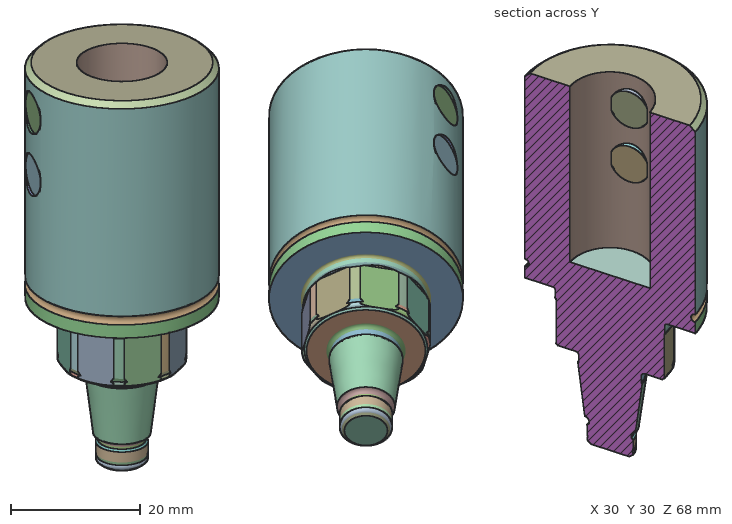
import cadquery as cq
import math


total_height = 68.0
body_radius = 14.995
body_bottom = 31.7
top_chamfer = 0.95
flange_top = 30.25
flange_bottom = 28.0

bore_radius = 7.0
bore_floor = 34.0
screw_radius = 3.4
screw_heights = (51.3, 61.8)
screw_outer_depth = 14.55
screw_inner_depth = 6.25

collar_radius = 9.65
collar_fillet = 0.4
collar_bottom = 26.7
collar_flare_radius = 2.05
drive_radius = 10.0
drive_land_bottom = 18.8
drive_groove_radius = 9.85
drive_groove_height = 18.15
drive_bead_height = 17.8
drive_bottom = 17.0
drive_edge_chamfer = 0.35
drive_edge_radius = 9.5
flat_count = 8
flat_distance = 9.5
flat_top = 25.9

neck_radius = 5.5
neck_fillet = 0.6
taper_top = 15.1
taper_top_radius = 5.7
taper_bottom = 5.0
taper_bottom_radius = 4.5

tip_neck_radius = 3.75
tip_neck_bottom = 3.9
tip_radius = 4.1
tip_land_bottom = 1.8
tip_groove_radius = 3.95
tip_groove_height = 1.2
tip_bead_height = 0.8
tip_edge_radius = 3.75
tip_edge_height = 0.35
tip_end_radius = 3.3


def turned_body():
    """Revolve the complete outer profile, drawn from the tip up to the top face."""
    tip_neck_fillet = taper_bottom_radius - tip_neck_radius
    tip_neck_top = taper_bottom - tip_neck_fillet
    tip_shoulder = tip_neck_bottom - (tip_radius - tip_neck_radius)

    flare_inset = collar_flare_radius - (drive_radius - collar_radius)
    drive_top = collar_bottom - math.sqrt(collar_flare_radius**2 - flare_inset**2)
    drive_end_radius = drive_edge_radius - drive_edge_chamfer

    groove_radius = (body_bottom - flange_top) / 2
    groove_middle = flange_top + groove_radius

    profile = (
        cq.Workplane("XZ")
        .lineTo(tip_end_radius, 0)
        .lineTo(tip_edge_radius, tip_edge_height)
        .threePointArc((tip_radius, tip_bead_height), (tip_groove_radius, tip_groove_height))
        .lineTo(tip_radius, tip_land_bottom)
        .lineTo(tip_radius, tip_shoulder)
        .lineTo(tip_neck_radius, tip_neck_bottom)
        .lineTo(tip_neck_radius, tip_neck_top)
        .radiusArc((taper_bottom_radius, taper_bottom), tip_neck_fillet)
        .lineTo(taper_top_radius, taper_top)
        .lineTo(neck_radius, taper_top)
        .lineTo(neck_radius, drive_bottom - neck_fillet)
        .radiusArc((neck_radius + neck_fillet, drive_bottom), neck_fillet)
        .lineTo(drive_end_radius, drive_bottom)
        .lineTo(drive_edge_radius, drive_bottom + drive_edge_chamfer)
        .threePointArc((drive_radius, drive_bead_height), (drive_groove_radius, drive_groove_height))
        .lineTo(drive_radius, drive_land_bottom)
        .lineTo(drive_radius, drive_top)
        .radiusArc((collar_radius, collar_bottom), collar_flare_radius)
        .lineTo(collar_radius, flange_bottom - collar_fillet)
        .radiusArc((collar_radius + collar_fillet, flange_bottom), collar_fillet)
        .lineTo(body_radius, flange_bottom)
        .lineTo(body_radius, flange_top)
        .threePointArc((body_radius - groove_radius, groove_middle), (body_radius, body_bottom))
        .lineTo(body_radius, total_height - top_chamfer)
        .lineTo(body_radius - top_chamfer, total_height)
        .lineTo(0, total_height)
        .close()
    )
    return profile.revolve(360, (0, 0, 0), (0, 1, 0))


def flat_cutter(angle):
    """Material outside one drive flat; the flat runs out at the top in a 45 degree slope."""
    cut_depth = 1.35
    half_width = flat_distance
    section = [
        (flat_distance, drive_bottom),
        (flat_distance, flat_top),
        (flat_distance + cut_depth, flat_top + cut_depth),
        (flat_distance + cut_depth, drive_bottom),
    ]
    cutter = cq.Workplane("XZ").polyline(section).close().extrude(half_width, both=True)
    return cutter.rotate((0, 0, 0), (0, 0, 1), angle)


def rod_along_y(height, outer_depth, inner_depth):
    """Cylinder of the screw diameter on the -Y side, between two distances from the Z axis."""
    return (
        cq.Workplane("XZ", origin=(0, -inner_depth, height))
        .circle(screw_radius)
        .extrude(outer_depth - inner_depth)
    )


result = turned_body()

for index in range(flat_count):
    result = result.cut(flat_cutter(index * 360 / flat_count))

bore = cq.Workplane("XY", origin=(0, 0, bore_floor)).circle(bore_radius).extrude(total_height - bore_floor)
result = result.cut(bore)

for screw_height in screw_heights:
    result = result.cut(rod_along_y(screw_height, body_radius, screw_outer_depth))
    result = result.union(rod_along_y(screw_height, screw_outer_depth, screw_inner_depth))

result = result.solids()